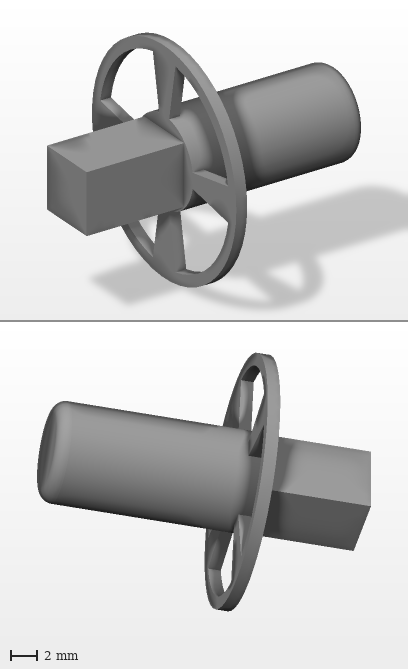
import cadquery as cq
import math

wheel_diameter = 20.0
wheel_thickness = 1.0
rim_width = 1.0
shaft_diameter = 8.0
shaft_length = 15.0
shaft_end_fillet = 1.0
square_side = 5.5
square_length = 9.0
spoke_count = 4
spoke_angle = 20.0

hub_radius = shaft_diameter / 2
rim_inner_radius = wheel_diameter / 2 - rim_width
spoke_pitch = 360.0 / spoke_count
spoke_reach = rim_inner_radius + rim_width / 2


def polar(radius, degrees):
    angle = math.radians(degrees)
    return (radius * math.cos(angle), radius * math.sin(angle))


def make_rim():
    return (
        cq.Workplane("XZ")
        .circle(wheel_diameter / 2)
        .circle(rim_inner_radius)
        .extrude(-wheel_thickness)
    )


def make_spoke(direction):
    """Wedge from the axis into the rim, with sides that run radially."""
    start_side = polar(spoke_reach, direction - spoke_angle / 2)
    end_side = polar(spoke_reach, direction + spoke_angle / 2)
    return (
        cq.Workplane("XZ")
        .polyline([(0, 0), start_side, end_side])
        .close()
        .extrude(-wheel_thickness)
    )


def make_wheel():
    wheel = make_rim()
    for index in range(spoke_count):
        wheel = wheel.union(make_spoke(index * spoke_pitch))
    return wheel


def make_shaft():
    """Round shaft whose front end forms the wheel's hub; its free end is rounded."""
    shaft = cq.Workplane("XZ").circle(hub_radius).extrude(-(wheel_thickness + shaft_length))
    return shaft.faces(">Y").edges().fillet(shaft_end_fillet)


def make_square_drive():
    return cq.Workplane("XZ").rect(square_side, square_side).extrude(square_length)


result = make_shaft().union(make_square_drive()).union(make_wheel())